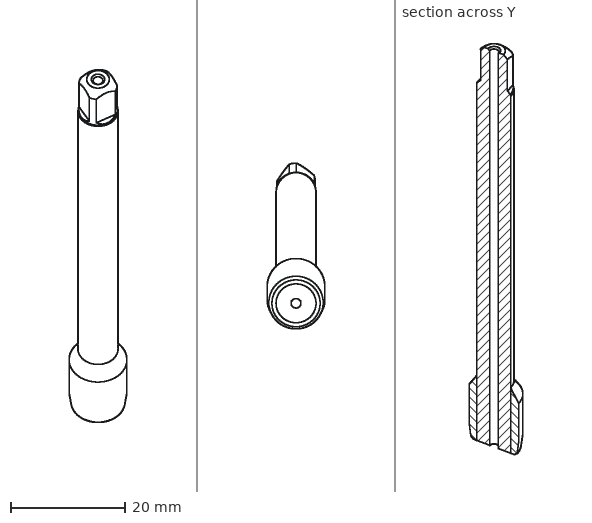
import cadquery as cq

total_length = 90.0

shaft_radius = 7.0 / 2
bore_radius = 1.7 / 2
bore_mouth_radius = 1.2
bore_mouth_depth = bore_mouth_radius - bore_radius

drive_corner_radius = 6.75 / 2
drive_half_width = 2.8
drive_tip_radius = 2.0
drive_tip_height = drive_corner_radius - drive_tip_radius
flat_bottom = 82.1
shoulder_height = 81.3
shoulder_chamfer = shaft_radius - drive_corner_radius

sleeve_radius = 10.2 / 2
sleeve_top = 15.1
lip_radius = 3.7
lip_bottom = 14.5
cone_bottom = 12.15
taper_top = 3.2
taper_end_radius = 4.8
end_chamfer = 0.5


def revolve_profile(points):
    """Revolve a closed (radius, height) outline about the Z axis."""
    return cq.Workplane("XZ").polyline(points).close().revolve(360, (0, 0), (0, 1))


def make_flat_cutter():
    """Cutter for the +X drive flat, running out outward and down at 45 degrees."""
    runout = 2 * (shaft_radius - drive_half_width)
    outline = [
        (drive_half_width, total_length),
        (drive_half_width, flat_bottom),
        (drive_half_width + runout, flat_bottom - runout),
        (drive_half_width + runout, total_length),
    ]
    return cq.Workplane("XZ").polyline(outline).close().extrude(shaft_radius, both=True)


def make_shaft():
    """Hollow shaft with a square drive at its top."""
    shaft = revolve_profile([
        (bore_radius, 0),
        (shaft_radius, 0),
        (shaft_radius, shoulder_height),
        (drive_corner_radius, shoulder_height + shoulder_chamfer),
        (drive_corner_radius, total_length - drive_tip_height),
        (drive_tip_radius, total_length),
        (bore_mouth_radius, total_length),
        (bore_radius, total_length - bore_mouth_depth),
    ])
    flat_cutter = make_flat_cutter()
    for angle in (0, 90, 180, 270):
        shaft = shaft.cut(flat_cutter.rotate((0, 0, 0), (0, 0, 1), angle))
    return shaft


def make_sleeve():
    """Sleeve fitted on the shaft, coned at the top and slightly tapered at the bottom."""
    return revolve_profile([
        (shaft_radius, 0),
        (taper_end_radius - end_chamfer, 0),
        (taper_end_radius, end_chamfer),
        (sleeve_radius, taper_top),
        (sleeve_radius, cone_bottom),
        (lip_radius, lip_bottom),
        (shaft_radius, sleeve_top),
    ])


shaft = make_shaft()
sleeve = make_sleeve()

result = cq.Compound.makeCompound([shaft.val(), sleeve.val()])